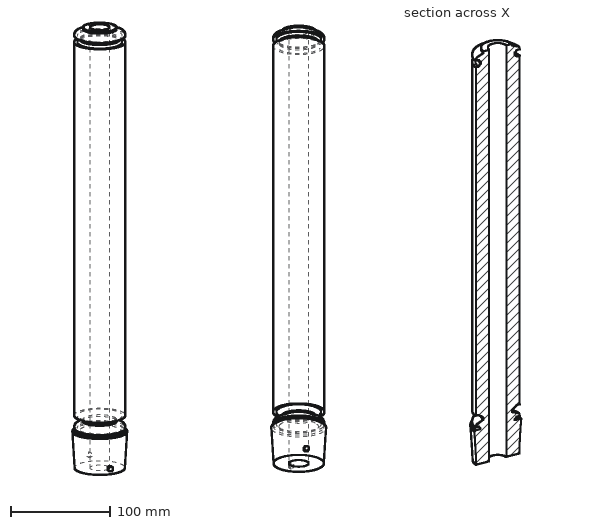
import cadquery as cq
import math

total_height = 462.5
cup_height = 39.5
body_bottom = 55.0
body_top = 447.0

body_diameter = 52.0
cup_top_diameter = 55.5
cup_bottom_diameter = 51.0
end_face_diameter = 34.0
groove_diameter = 40.0
groove_mouth_diameter = 45.5
bore_diameter = 20.0

rim_height = 3.2
dome_height = 3.5
shoulder_blend = 2.5
lip_height = 2.0

groove_cone_height = 3.0
groove_neck_height = 1.5
cup_edge_width = 2.5
cup_edge_height = 1.0

pin_diameter = 5.0
pin_span = 57.0
pin_height = 6.5

body_radius = body_diameter / 2
end_face_radius = end_face_diameter / 2
groove_radius = groove_diameter / 2
groove_mouth_radius = groove_mouth_diameter / 2


def add_flange(profile, rim_bottom):
    """Continue a half profile from a groove neck up through the domed flange above it."""
    rim_top = rim_bottom + rim_height
    dome_top = rim_top + dome_height
    cone_angle = math.atan2(dome_height, body_radius - end_face_radius)
    blend_end_radius = body_radius - shoulder_blend * math.cos(cone_angle)
    blend_end_height = rim_top + shoulder_blend * math.sin(cone_angle)
    return (
        profile.lineTo(groove_radius, rim_bottom - groove_cone_height)
        .lineTo(groove_mouth_radius, rim_bottom)
        .lineTo(body_radius, rim_bottom)
        .lineTo(body_radius, rim_top - shoulder_blend)
        .tangentArcPoint((blend_end_radius, blend_end_height), relative=False)
        .lineTo(end_face_radius, dome_top)
        .lineTo(end_face_radius, dome_top + lip_height)
    )


def make_column():
    """Revolve the cup, lower flange, body and upper flange about the Z axis."""
    bore_radius = bore_diameter / 2
    cup_radius = cup_top_diameter / 2
    flange_height = rim_height + dome_height + lip_height
    lower_rim_bottom = cup_height + groove_cone_height
    upper_rim_bottom = total_height - flange_height
    neck_bottom = upper_rim_bottom - groove_cone_height - groove_neck_height

    profile = (
        cq.Workplane("XZ")
        .moveTo(bore_radius, 0)
        .lineTo(cup_bottom_diameter / 2, 0)
        .lineTo(cup_radius, cup_height - cup_edge_height)
        .lineTo(cup_radius - cup_edge_width, cup_height)
    )
    profile = add_flange(profile, lower_rim_bottom)
    profile = (
        profile.lineTo(groove_mouth_radius, body_bottom)
        .lineTo(body_radius, body_bottom)
        .lineTo(body_radius, body_top)
        .lineTo(groove_mouth_radius, body_top)
        .lineTo(groove_radius, neck_bottom)
    )
    profile = add_flange(profile, upper_rim_bottom)
    profile = profile.lineTo(bore_radius, total_height).close()
    return profile.revolve(360, (0, 0, 0), (0, 1, 0))


def make_pin(side):
    """Radial pin from inside the cup wall out to the full span; side is +1 or -1."""
    pin_root = (bore_diameter + cup_bottom_diameter) / 4
    return (
        cq.Workplane("YZ", origin=(side * pin_root, 0, 0))
        .center(0, pin_height)
        .circle(pin_diameter / 2)
        .extrude(side * (pin_span / 2 - pin_root))
    )


result = make_column()
for side in (-1, 1):
    result = result.union(make_pin(side))